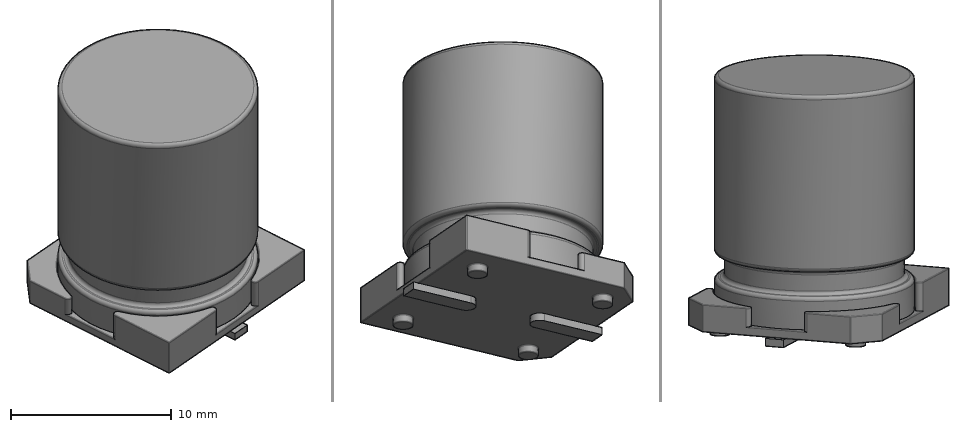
import cadquery as cq
import math

TOTAL_HEIGHT = 16
STANDOFF = 0.5

CAN_RADIUS = 12.5 / 2
GROOVE_RADIUS = 11.25 / 2
GROOVE_BOTTOM = 3.14
GROOVE_TOP = 4.69
CAN_ROUND = 0.25

BASE_SIDE = 13.0
CORNER_CUT = 1.54
FLOOR_TOP = 1.05
LOW_BLOCK_TOP = 2.25
HIGH_BLOCK_TOP = 2.9
SEAT_CLEARANCE = 0.06
NOSE_RADIUS = 0.25
EDGE_ROUND = 0.05

LEAD_SPAN = 13.7
LEAD_WIDTH = 1.2
LEAD_INNER_X = 2.06

FOOT_DIAMETER = 1.25
FOOT_OFFSET = 4.55
FOOT_ROUND = 0.05


def make_can():
    """Cylinder standing on the base floor, with a rounded top rim and groove."""
    groove = (
        cq.Workplane("XY", origin=(0, 0, GROOVE_BOTTOM))
        .circle(2 * CAN_RADIUS)
        .circle(GROOVE_RADIUS)
        .extrude(GROOVE_TOP - GROOVE_BOTTOM)
    )
    return (
        cq.Workplane("XY", origin=(0, 0, FLOOR_TOP))
        .circle(CAN_RADIUS)
        .extrude(TOTAL_HEIGHT - FLOOR_TOP)
        .cut(groove)
        .edges("%CIRCLE")
        .edges("not <Z")
        .fillet(CAN_ROUND)
    )


def base_prism(bottom, top):
    """Full base outline between two heights: a square with the -X corners cut off."""
    return (
        cq.Workplane("XY", origin=(0, 0, bottom))
        .rect(BASE_SIDE, BASE_SIDE)
        .extrude(top - bottom)
        .edges("|Z and <X")
        .chamfer(CORNER_CUT)
        .edges("|Z")
        .fillet(EDGE_ROUND)
    )


def make_block(x_sign, y_sign, top):
    """Corner block: two outer sides, the round can seat and a round nose at each end."""
    half = BASE_SIDE / 2
    seat_radius = CAN_RADIUS + SEAT_CLEARANCE

    nose_y = half - NOSE_RADIUS
    nose_x = math.sqrt((seat_radius + NOSE_RADIUS) ** 2 - nose_y**2)
    tip_x = nose_x - NOSE_RADIUS
    seat_ratio = seat_radius / (seat_radius + NOSE_RADIUS)
    seat_end = (nose_x * seat_ratio, nose_y * seat_ratio)
    seat_middle = seat_radius * math.sqrt(0.5)

    def place(x, y):
        return (x_sign * x, y_sign * y)

    bottom = STANDOFF + EDGE_ROUND
    block = (
        cq.Workplane("XY", origin=(0, 0, bottom))
        .moveTo(*place(nose_x, half))
        .lineTo(*place(half, half))
        .lineTo(*place(half, nose_x))
        .threePointArc(place(nose_y, tip_x), place(seat_end[1], seat_end[0]))
        .threePointArc(place(seat_middle, seat_middle), place(*seat_end))
        .threePointArc(place(tip_x, nose_y), place(nose_x, half))
        .close()
        .extrude(top - bottom)
    )
    return block.intersect(base_prism(bottom, top)).faces(">Z").edges().fillet(EDGE_ROUND)


def make_base():
    """Floor plate with low blocks at -X and high blocks at +X."""
    base = base_prism(STANDOFF, FLOOR_TOP).faces("<Z or >Z").edges().fillet(EDGE_ROUND)
    for x_sign, top in ((-1, LOW_BLOCK_TOP), (1, HIGH_BLOCK_TOP)):
        for y_sign in (-1, 1):
            base = base.union(make_block(x_sign, y_sign, top))
    return base


def make_lead(x_sign):
    """Flat strip along X, from the outer end to the round inner end."""
    radius = LEAD_WIDTH / 2
    outer_x = x_sign * LEAD_SPAN / 2
    inner_x = x_sign * LEAD_INNER_X
    round_x = x_sign * (LEAD_INNER_X + radius)
    return (
        cq.Workplane("XY")
        .moveTo(outer_x, -radius)
        .lineTo(round_x, -radius)
        .threePointArc((inner_x, 0), (round_x, radius))
        .lineTo(outer_x, radius)
        .close()
        .extrude(STANDOFF)
    )


def make_foot(x, y):
    """Stud with a rounded tip and a small flare under the base."""
    radius = FOOT_DIAMETER / 2
    flare_bottom = STANDOFF - FOOT_ROUND
    arc_inset = FOOT_ROUND * (1 - math.sqrt(0.5))
    profile = (
        cq.Workplane("XZ")
        .lineTo(radius - FOOT_ROUND, 0)
        .threePointArc((radius - arc_inset, arc_inset), (radius, FOOT_ROUND))
        .lineTo(radius, flare_bottom)
        .threePointArc((radius + arc_inset, STANDOFF - arc_inset), (radius + FOOT_ROUND, STANDOFF))
        .lineTo(0, STANDOFF)
        .close()
    )
    return profile.revolve(360, (0, 0, 0), (0, 1, 0)).translate((x, y, 0))


result = make_base().union(make_can())
for x_sign in (-1, 1):
    result = result.union(make_lead(x_sign))
    for y_sign in (-1, 1):
        result = result.union(make_foot(x_sign * FOOT_OFFSET, y_sign * FOOT_OFFSET))